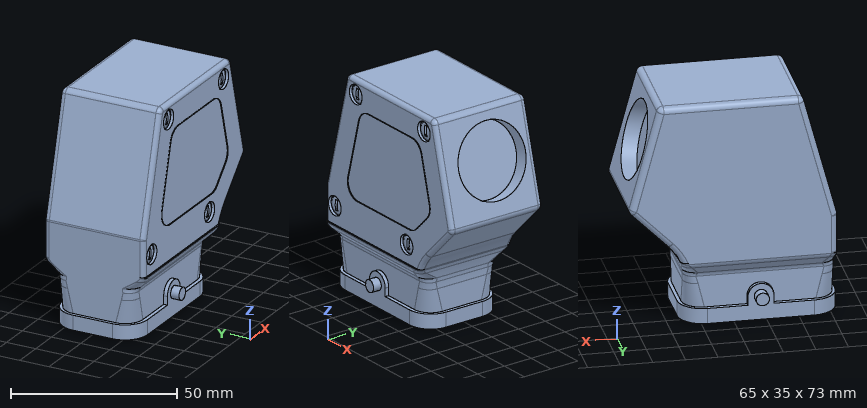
import cadquery as cq
import math


flange_length = 48.5
flange_width = 29.2
flange_height = 5.0
flange_corner_radius = 7.8

neck_length = 46.2
neck_width = 26.6
neck_foot_corner_radius = 6.0
neck_top_corner_radius = 3.5
bend_corner_radius = 4.2

hood_height = 73.0
top_left_x = -12.55
top_right_x = 31.85
nose_x = 40.96
side_tilt = 15.0
belly_angle = 45.0
throat_radius = 20.0
edge_radius = 2.0

back_y = 17.5
lid_y = -17.0
lip_top = 21.5
ridge_z = 20.3
shoulder_bend_radius = 2.0
ridge_radius = 2.0
lid_edge_radius = 1.5

entry_diameter = 25.0
entry_depth = 5.0
entry_y = 1.6
entry_z = 56.7

panel_margin = 9.5
panel_bottom_z = 33.0
panel_corner_radius = 5.0
panel_depth = 0.3

screw_places = [(-7.7, 67.8), (26.9, 67.8), (-18.3, 27.6), (18.1, 27.6)]
recess_diameter = 6.4
recess_depth = 1.0
head_diameter = 5.6
dome_radius = 8.0
slot_width = 1.0
slot_length = 3.9
slot_floor_length = 2.1
slot_depth = 0.9

pin_z = 7.8
pin_diameter = 4.1
pin_span = 35.0
pin_boss_diameter = 8.0

beyond = 100.0
edge_start = 0.1

lean = math.tan(math.radians(side_tilt))
neck_end_x = neck_length / 2
neck_side_y = neck_width / 2
knee_z = hood_height - (neck_end_x + top_left_x) / lean
nose_z = hood_height - (nose_x - top_right_x) / lean
throat_center_x = neck_end_x + throat_radius
belly_end_x = throat_center_x - throat_radius * math.sin(math.radians(belly_angle))
belly_end_z = nose_z - (nose_x - belly_end_x) * math.tan(math.radians(belly_angle))
throat_z = belly_end_z - throat_radius * math.cos(math.radians(belly_angle))
throat_middle_z = (lip_top + belly_end_z) / 2

bend_reach = math.tan(math.radians(22.5))
bend_height = math.sin(math.radians(45))
slope_foot_z = ridge_z - (back_y - neck_side_y)
neck_top_z = slope_foot_z - shoulder_bend_radius * bend_reach
slope_start_z = neck_top_z + shoulder_bend_radius * bend_height
ridge_top_z = ridge_z + ridge_radius * bend_reach
slope_end_z = ridge_top_z - ridge_radius * bend_height


def outline_end_x(z):
    """+X end of the neck and shoulder at a height."""
    if z <= throat_z:
        return neck_end_x
    return throat_center_x - math.sqrt(throat_radius**2 - (z - throat_z) ** 2)


def outline_side_y(z):
    """Half width of the neck and shoulder at a height."""
    if z <= neck_top_z:
        return neck_side_y
    if z <= slope_start_z:
        rise = z - neck_top_z
        return neck_side_y + shoulder_bend_radius - math.sqrt(shoulder_bend_radius**2 - rise**2)
    if z <= slope_end_z:
        return neck_side_y + z - slope_foot_z
    drop = max(ridge_top_z - z, 0)
    return back_y - ridge_radius + math.sqrt(ridge_radius**2 - drop**2)


def corner_radius_at(z):
    """Upright corners narrow up the neck, widen round the bend and narrow again to the ridge."""
    stretches = [
        (flange_height, neck_foot_corner_radius, neck_top_z, neck_top_corner_radius),
        (neck_top_z, neck_top_corner_radius, slope_start_z, bend_corner_radius),
        (slope_start_z, bend_corner_radius, ridge_top_z, edge_radius),
    ]
    for low_z, low_radius, high_z, high_radius in stretches:
        if z <= high_z:
            return low_radius + (high_radius - low_radius) * (z - low_z) / (high_z - low_z)
    return edge_radius


def level_profile(z):
    end_x = outline_end_x(z)
    return (
        cq.Sketch()
        .push([((end_x - neck_end_x) / 2, 0)])
        .rect(neck_end_x + end_x, 2 * outline_side_y(z))
        .reset()
        .vertices()
        .fillet(corner_radius_at(z))
        .moved(cq.Location(cq.Vector(0, 0, z)))
    )


def make_neck_and_shoulder():
    """Stacked lofts, one for each stretch between changes of curvature."""
    levels = [
        flange_height, throat_z, neck_top_z, slope_start_z, slope_end_z, ridge_top_z, lip_top,
    ]
    stack = cq.Workplane()
    for low, high in zip(levels, levels[1:]):
        profiles = [level_profile(z) for z in (low, (low + high) / 2, high)]
        stack = stack.add(cq.Workplane().placeSketch(*profiles).loft())
    return stack.combine()


def hood_outline():
    return (
        cq.Workplane("XZ", origin=(0, back_y, 0))
        .moveTo(-neck_end_x, lip_top)
        .lineTo(-neck_end_x, knee_z)
        .lineTo(top_left_x, hood_height)
        .lineTo(top_right_x, hood_height)
        .lineTo(nose_x, nose_z)
        .lineTo(belly_end_x, belly_end_z)
        .threePointArc((outline_end_x(throat_middle_z), throat_middle_z), (outline_end_x(lip_top), lip_top))
        .close()
        .extrude(back_y - lid_y)
    )


def make_hood():
    """Hood above the lip, with its back and cross edges rounded more than the lid's rim."""
    hood = hood_outline()
    upper_region = cq.selectors.BoxSelector(
        (-beyond, -beyond, lip_top + edge_start), (beyond, beyond, beyond)
    )
    cross_region = cq.selectors.BoxSelector(
        (-beyond, -beyond, belly_end_z + edge_start), (beyond, beyond, beyond)
    )
    cross_edges = hood.edges("|Y").edges(cross_region)
    back_rim = hood.faces(">Y").edges(upper_region)
    hood = cross_edges.add(back_rim).fillet(edge_radius)
    return hood.faces("<Y").edges(upper_region).fillet(lid_edge_radius)


def make_flange():
    return (
        cq.Workplane()
        .rect(flange_length, flange_width)
        .extrude(flange_height)
        .edges("|Z")
        .fillet(flange_corner_radius)
    )


def make_pins():
    axis = cq.Workplane("XZ").center(0, pin_z)
    pins = axis.circle(pin_diameter / 2).extrude(pin_span / 2, both=True)
    bosses = axis.circle(pin_boss_diameter / 2).extrude(flange_width / 2, both=True)
    webs = cq.Workplane().rect(pin_boss_diameter, flange_width).extrude(pin_z)
    return pins.union(bosses).union(webs)


def cable_entry():
    tilt = math.radians(side_tilt)
    center_x = top_right_x + (hood_height - entry_z) * lean
    plane = cq.Plane(
        origin=(center_x, entry_y, entry_z),
        xDir=(0, 1, 0),
        normal=(math.cos(tilt), 0, math.sin(tilt)),
    )
    return cq.Workplane(plane).circle(entry_diameter / 2).extrude(-entry_depth)


def label_panel():
    """Follows the tilted sides, top and belly of the hood at a constant margin."""
    top_z = hood_height - panel_margin
    side_shift = panel_margin / math.cos(math.radians(side_tilt))
    left_x = top_left_x + side_shift
    right_x = top_right_x - side_shift
    bottom_left_x = left_x - (hood_height - panel_bottom_z) * lean
    belly_offset = nose_x - nose_z - panel_margin / math.cos(math.radians(belly_angle))
    nose_point_z = (right_x + hood_height * lean - belly_offset) / (1 + lean)
    corners = [
        (left_x - panel_margin * lean, top_z),
        (right_x + panel_margin * lean, top_z),
        (nose_point_z + belly_offset, nose_point_z),
        (panel_bottom_z + belly_offset, panel_bottom_z),
        (bottom_left_x, panel_bottom_z),
    ]
    return (
        cq.Workplane("XZ", origin=(0, lid_y, 0))
        .polyline(corners)
        .close()
        .extrude(-panel_depth)
        .edges("|Y")
        .fillet(panel_corner_radius)
    )


def screw_recess(x, z):
    return cq.Workplane("XZ", origin=(x, lid_y, z)).circle(recess_diameter / 2).extrude(-recess_depth)


def screw_head(x, z):
    """Shallow dome on the recess floor, with a slot that has sloping ends."""
    floor_y = lid_y + recess_depth
    rim_depth = math.sqrt(dome_radius**2 - (head_diameter / 2) ** 2)
    tip_y = floor_y - (dome_radius - rim_depth)
    ball = cq.Workplane(origin=(x, floor_y + rim_depth, z)).sphere(dome_radius)
    blank = cq.Workplane("XZ", origin=(x, floor_y, z)).circle(head_diameter / 2).extrude(recess_depth)
    slot = (
        cq.Workplane("YZ", origin=(x - slot_width / 2, 0, z))
        .moveTo(tip_y, slot_length / 2)
        .lineTo(tip_y + slot_depth, slot_floor_length / 2)
        .lineTo(tip_y + slot_depth, -slot_floor_length / 2)
        .lineTo(tip_y, -slot_length / 2)
        .close()
        .extrude(slot_width)
    )
    return blank.intersect(ball), slot


result = make_hood().union(make_neck_and_shoulder()).union(make_flange()).union(make_pins())
result = result.cut(cable_entry()).cut(label_panel())
for place in screw_places:
    head, slot = screw_head(*place)
    result = result.cut(screw_recess(*place)).union(head).cut(slot)